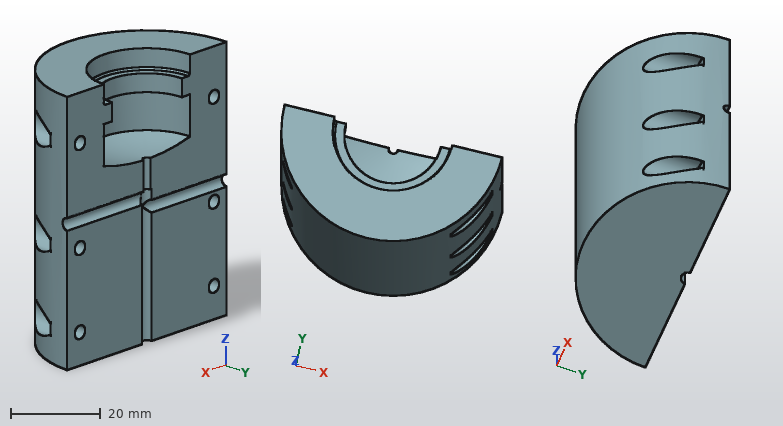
import cadquery as cq
import math

height = 65
outer_diameter = 50.0
outer_radius = outer_diameter / 2

bore_radius = 13.5
shoulder_depth = 5.0
shoulder_chamfer = 0.5
lip_radius = 10.9
lip_thickness = 4.5
chamber_height = 10.0
floor_radius = 50.0

drain_radius = 1.05
passage_radius = 1.5
left_passage_z = 32.05
right_passage_z = 34.65

screw_x = 21.0
screw_levels = (8.0, 28.0, 53.0)
screw_radius = 1.6
counterbore_radius = 3.5
flange_thickness = 6.0


def half_cylinder():
    """Outer body on the -Y side, standing on Z = 0."""
    back_half = cq.Workplane("XY").box(
        outer_diameter, outer_radius, height, centered=(True, False, False)
    )
    return cq.Workplane("XY").circle(outer_radius).extrude(height).cut(back_half)


def cavity():
    """Bore, chamfered shoulder, lip, undercut chamber and dished spherical floor."""
    shoulder_z = height - shoulder_depth
    lip_bottom_z = shoulder_z - lip_thickness
    floor_rim_z = lip_bottom_z - chamber_height
    floor_center_z = floor_rim_z + math.sqrt(floor_radius**2 - bore_radius**2)
    half_angle = math.asin(bore_radius / floor_radius) / 2
    floor_middle = (
        floor_radius * math.sin(half_angle),
        floor_center_z - floor_radius * math.cos(half_angle),
    )
    return (
        cq.Workplane("XZ")
        .moveTo(0, height)
        .lineTo(bore_radius, height)
        .lineTo(bore_radius, shoulder_z + shoulder_chamfer)
        .lineTo(bore_radius - shoulder_chamfer, shoulder_z)
        .lineTo(lip_radius, shoulder_z)
        .lineTo(lip_radius, lip_bottom_z)
        .lineTo(bore_radius, lip_bottom_z)
        .lineTo(bore_radius, floor_rim_z)
        .threePointArc(floor_middle, (0, floor_center_z - floor_radius))
        .close()
        .revolve(360, (0, 0), (0, 1))
    )


def axial_passage():
    """Narrow drain from the cavity floor, wider from the side passages down."""
    drain = cq.Workplane("XY").circle(drain_radius).extrude(height)
    wide_height = right_passage_z + passage_radius
    return drain.union(cq.Workplane("XY").circle(passage_radius).extrude(wide_height))


def side_passage(level, side):
    """Hole along X from the axis out through one side (-1 or +1)."""
    return (
        cq.Workplane("YZ")
        .center(0, level)
        .circle(passage_radius)
        .extrude(side * outer_radius)
    )


def hole_row(x, radius, start_depth):
    """Row of holes along Y, from start_depth below the split face outward."""
    return (
        cq.Workplane("XZ", origin=(0, -start_depth, 0))
        .pushPoints([(x, level) for level in screw_levels])
        .circle(radius)
        .extrude(outer_radius)
    )


result = (
    half_cylinder()
    .cut(cavity())
    .cut(axial_passage())
    .cut(side_passage(left_passage_z, -1))
    .cut(side_passage(right_passage_z, 1))
    .cut(hole_row(-screw_x, screw_radius, 0))
    .cut(hole_row(screw_x, screw_radius, 0))
    .cut(hole_row(screw_x, counterbore_radius, flange_thickness))
)